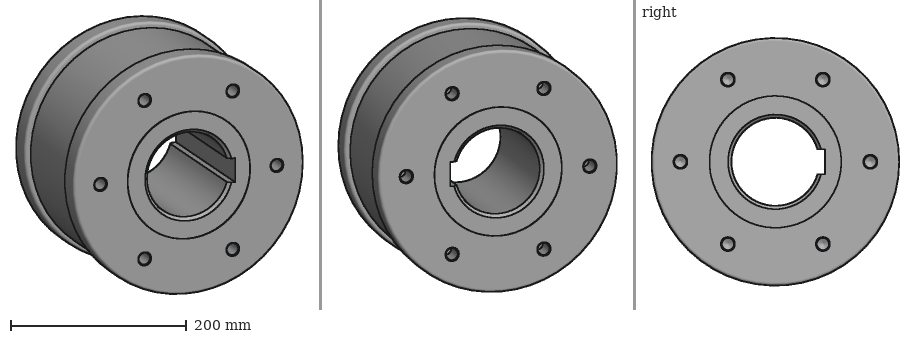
import cadquery as cq
import math

outer_diameter = 282.0
overall_width = 182.0

rim_face_setback = 0.8
rim_width = 30.2
drum_diameter = 270.0
rim_round = 3.7
drum_round = 3.5

hub_diameter = 150.0
bore_diameter = 99.8
bore_chamfer = 4.0
keyway_width = 28.2
keyway_depth = 56.5

hole_count = 6
hole_circle_diameter = 216.0
hole_diameter = 13.8
hole_mouth_diameter = 16.0
hole_depth = 30.0
drill_point_angle = 118.0

hub_face = overall_width / 2
rim_face = hub_face - rim_face_setback
rim_inner_face = rim_face - rim_width


def make_disc(start_x, end_x, diameter):
    """Solid cylinder on the X axis between two X positions."""
    return cq.Workplane("YZ", origin=(start_x, 0, 0)).circle(diameter / 2).extrude(end_x - start_x)


def make_body():
    """Hub, drum with rounded ends, and a rounded rim at each end of the drum."""
    hub = make_disc(-hub_face, hub_face, hub_diameter)
    drum = make_disc(-rim_inner_face, rim_inner_face, drum_diameter).edges().fillet(drum_round)
    rim = make_disc(rim_inner_face, rim_face, outer_diameter).edges().fillet(rim_round)
    return drum.union(rim).union(rim.mirror("YZ")).union(hub)


def cut_bore(body):
    """Bore right through along X, with a chamfer at each mouth."""
    bored = body.cut(make_disc(-hub_face, hub_face, bore_diameter))
    mouths = bored.faces("<X or >X").edges(cq.selectors.RadiusNthSelector(0))
    return mouths.chamfer(bore_chamfer)


def make_keyway():
    """Slot on the +Y side of the bore, running the full width."""
    return cq.Workplane("XY").box(
        overall_width, keyway_depth, keyway_width, centered=(True, False, True)
    )


def make_hole():
    """Chamfered blind hole along X, in the +X face on the wheel axis."""
    radius = hole_diameter / 2
    mouth_radius = hole_mouth_diameter / 2
    point_length = radius / math.tan(math.radians(drill_point_angle / 2))
    hole_bottom = rim_face - hole_depth
    return (
        cq.Workplane("XY")
        .moveTo(rim_face, 0)
        .lineTo(rim_face, mouth_radius)
        .lineTo(rim_face - (mouth_radius - radius), radius)
        .lineTo(hole_bottom, radius)
        .lineTo(hole_bottom - point_length, 0)
        .close()
        .revolve(360, (0, 0, 0), (1, 0, 0))
    )


def cut_holes(body):
    """Ring of equally spaced blind holes in both rim faces."""
    first_hole = make_hole().translate((0, hole_circle_diameter / 2, 0))
    for index in range(hole_count):
        hole = first_hole.rotate((0, 0, 0), (1, 0, 0), index * 360 / hole_count)
        body = body.cut(hole).cut(hole.mirror("YZ"))
    return body


wheel = cut_bore(make_body()).cut(make_keyway())
result = cut_holes(wheel)